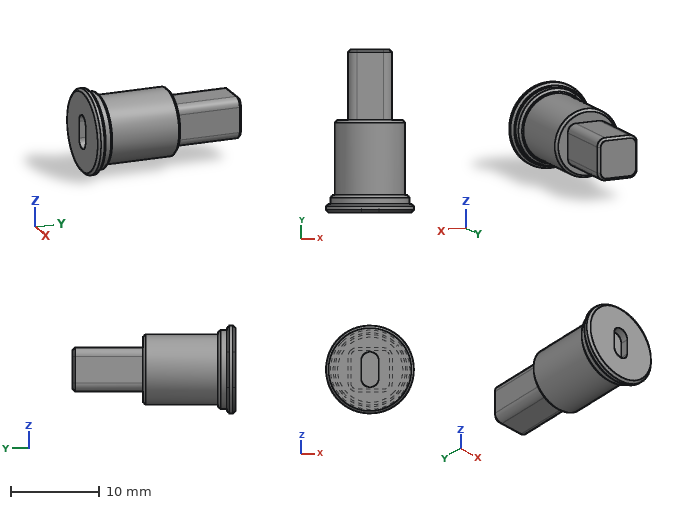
import cadquery as cq

flange_diameter = 10.0
flange_length = 1.0
collar_diameter = 9.0
collar_length = 1.0
barrel_diameter = 8.0
barrel_length = 8.5

shank_width = 5.0
shank_length = 8.0
shank_corner_radius = 1.0

slot_length = 4.0
slot_width = 2.0
slot_depth = 1.0

edge_chamfer = 0.3

collar_start = flange_length
barrel_start = collar_start + collar_length
shank_start = barrel_start + barrel_length


def plane_at(y):
    """Plane facing +Y at the given distance from the slotted face."""
    return cq.Workplane("XZ", origin=(0, y, 0)).workplane(invert=True)


def disc(diameter, length, start, chamfered_edges):
    """Round section along +Y with the selected rims chamfered."""
    section = plane_at(start).circle(diameter / 2).extrude(length)
    return section.edges(chamfered_edges).chamfer(edge_chamfer)


def square_shank():
    """Square bar with rounded long edges and a chamfered free end."""
    bar = plane_at(shank_start).rect(shank_width, shank_width).extrude(shank_length)
    bar = bar.edges("|Y").fillet(shank_corner_radius)
    return bar.faces(">Y").edges().chamfer(edge_chamfer)


def key_slot():
    """Round-ended cutter for the slot in the flange face."""
    return plane_at(0).slot2D(slot_length, slot_width, 90).extrude(slot_depth)


flange = disc(flange_diameter, flange_length, 0, "%CIRCLE")
collar = disc(collar_diameter, collar_length, collar_start, ">Y")
barrel = disc(barrel_diameter, barrel_length, barrel_start, ">Y")

result = flange.union(collar).union(barrel).union(square_shank()).cut(key_slot())